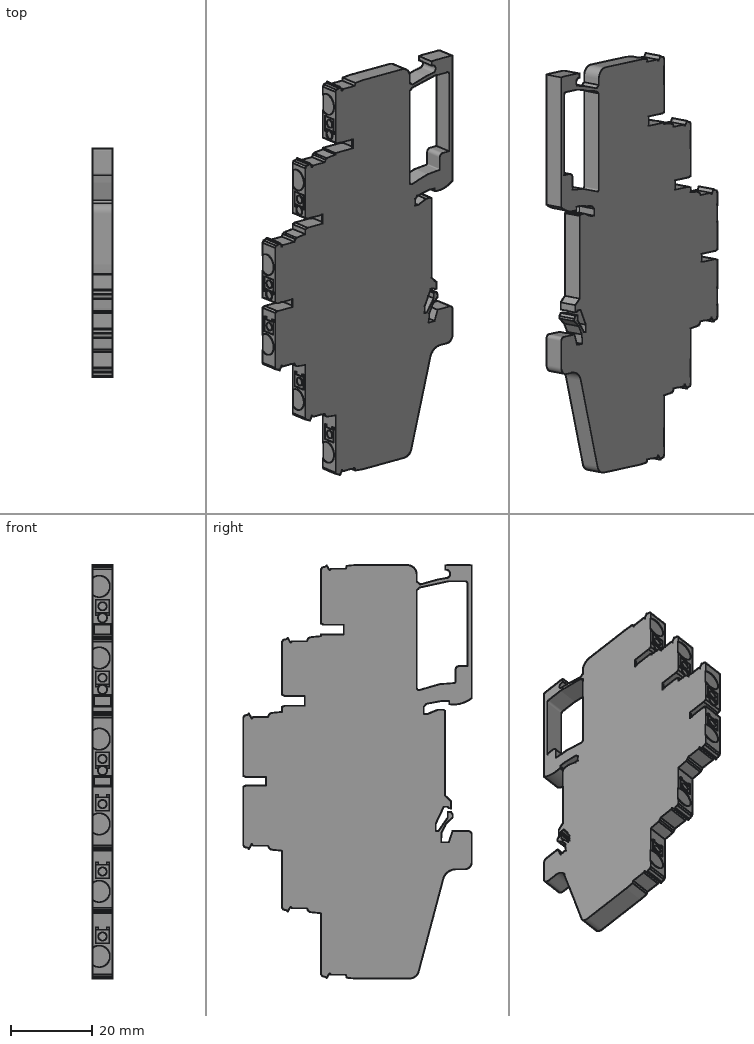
import cadquery as cq

THICKNESS = 5.0
DEPTH = 56.4
HEIGHT = 102.0

TIER_STEP = 9.6
FRONT_Y = 0.0
MIDDLE_Y = FRONT_Y + TIER_STEP
BACK_Y = MIDDLE_Y + TIER_STEP

FRONT_SEATS = (32.7, 64.6)
MIDDLE_SEATS = (17.3, 83.2)
BACK_SEATS = (0.9, 101.1)

LIP = ((0.0, -0.2), (0.3, 0.3), (1.1, 0.5), (1.4, 0.8), (2.1, -0.4), (2.4, 0.0), (6.1, 0.0))
SHOULDER = ((6.4, 0.6), (6.8, 0.9), (7.4, 1.0), (TIER_STEP, 1.2))
END_SHOULDER = ((6.2, 0.2), (6.3, 0.7), (7.3, 0.8), (8.6, 0.9))

SLOT_DEPTH = 5.6
LEAD_LENGTH = 0.7
LEAD_HEIGHT = 0.3
FRONT_SLOT = (47.6, 49.7)
MIDDLE_SLOT = (67.3, 69.7)
BACK_SLOT = (84.9, 87.2)
SLOT_POCKET_WIDTH = 4.0
SLOT_POCKET_DEPTH = 0.5

BODY_REAR_Y = 49.8
NECK_Y = 42.8
FOOT_TOP = 36.4
FOOT_BOTTOM = 26.9
LATCH_EASE_LENGTH = 0.6
LATCH_EASE_DROP = 0.1

MARK_DEPTH = 0.1
ENTRY_RADIUS = 2.7
ENTRY_X = -0.8
UPPER_ENTRIES = ((FRONT_Y, 59.1), (MIDDLE_Y, 79.0), (BACK_Y, 96.7))
LOWER_ENTRIES = ((FRONT_Y, 38.1), (MIDDLE_Y, 21.5), (BACK_Y, 5.5))
BUTTON_WIDTH = 3.4
BUTTON_NEAR = 3.3
BUTTON_FAR = 6.5
BUTTON_HOLE_OFFSET = 4.9
BUTTON_HOLE_RADIUS = 1.0
TAB_WIDTH = 0.6
TAB_LENGTH = 0.6
PROBE_OFFSET = 7.8
PROBE_RADIUS = 1.1


def tier_edge(front_y, seat_z, outward, steps):
    """Points along a tier edge from front to back; outward is +1 for top edges, -1 for bottom ones."""
    return [(front_y + back, seat_z + outward * rise) for back, rise in steps]


def slot_points(front_y, slot, lead_below=True):
    """Points round a slot, from its lower lip to its upper lip; the lower lead-in is optional."""
    bottom, top = slot
    floor_y = front_y + SLOT_DEPTH
    lower_lip = [(front_y, bottom - LEAD_HEIGHT), (front_y + LEAD_LENGTH, bottom)]
    upper_lip = [(front_y + LEAD_LENGTH, top), (front_y, top + LEAD_HEIGHT)]
    if not lead_below:
        lower_lip = [(front_y, bottom)]
    return lower_lip + [(floor_y, bottom), (floor_y, top)] + upper_lip


def front_outline():
    """Stepped front, from the bottom edge up to the top edge."""
    tier = LIP + SHOULDER
    points = tier_edge(BACK_Y, BACK_SEATS[0], -1, LIP + END_SHOULDER)[::-1]
    points += tier_edge(MIDDLE_Y, MIDDLE_SEATS[0], -1, tier)[::-1]
    points += tier_edge(FRONT_Y, FRONT_SEATS[0], -1, tier)[::-1]
    points += slot_points(FRONT_Y, FRONT_SLOT)
    points += tier_edge(FRONT_Y, FRONT_SEATS[1], 1, tier)
    points += slot_points(MIDDLE_Y, MIDDLE_SLOT)
    points += tier_edge(MIDDLE_Y, MIDDLE_SEATS[1], 1, tier)
    points += slot_points(BACK_Y, BACK_SLOT, lead_below=False)
    points += tier_edge(BACK_Y, BACK_SEATS[1], 1, LIP + END_SHOULDER)
    return points


def body():
    """Extruded outline of the whole block, without the latch window."""
    latch_top = [
        (NECK_Y, HEIGHT),
        (NECK_Y, 97.9),
        (43.7, 97.2),
        (48.0, 98.4),
        (50.4, 98.8),
    ]
    latch_head = [
        (BODY_REAR_Y, 100.8),
        (BODY_REAR_Y, HEIGHT - LATCH_EASE_DROP),
        (BODY_REAR_Y + LATCH_EASE_LENGTH, HEIGHT),
        (DEPTH - LATCH_EASE_LENGTH, HEIGHT),
        (DEPTH, HEIGHT - LATCH_EASE_DROP),
        (DEPTH, 69.2),
    ]
    rail_groove = [
        (50.8, 68.4),
        (49.1, 68.4),
        (45.2, 67.7),
        (44.6, 67.0),
        (44.6, 65.3),
        (45.5, 65.3),
        (47.9, 66.3),
        (49.5, 66.3),
        (BODY_REAR_Y, 66.0),
    ]
    rail_nose = [
        (BODY_REAR_Y, 45.2),
        (51.3, 43.8),
        (51.3, 41.9),
        (50.7, 42.0),
        (50.4, 42.3),
        (49.5, 42.3),
    ]
    spring_finger = [
        (47.5, 38.2),
        (47.5, FOOT_TOP),
        (48.1, FOOT_TOP),
        (50.4, 39.7),
        (50.4, 41.1),
        (51.3, 41.1),
        (51.7, 40.4),
        (51.7, 39.8),
        (50.1, 38.2),
        (49.0, 36.0),
        (48.9, 33.7),
        (50.7, 33.7),
    ]
    foot = [(51.6, FOOT_TOP), (DEPTH, FOOT_TOP), (DEPTH, FOOT_BOTTOM), (50.0, FOOT_BOTTOM), (NECK_Y, 0)]
    front = front_outline()
    outline = (
        cq.Workplane("YZ")
        .moveTo(*front[0])
        .polyline(front[1:] + latch_top, includeCurrent=True)
        .threePointArc((51.0, 99.8), latch_head[0])
        .polyline(latch_head[1:], includeCurrent=True)
        .threePointArc((54.2, 67.9), (50.8, 67.6))
        .polyline(rail_groove + rail_nose + spring_finger + foot, includeCurrent=True)
        .close()
    )
    return outline.extrude(THICKNESS / 2, both=True)


def latch_window():
    """Opening between the latch arm and the body."""
    points = [
        (55.3, 97.9),
        (50.6, 97.9),
        (43.6, 96.4),
        (NECK_Y, 95.8),
        (NECK_Y, 71.0),
        (48.5, 72.6),
        (52.3, 72.9),
        (52.3, 77.1),
        (55.3, 77.1),
    ]
    return cq.Workplane("YZ").polyline(points).close().extrude(THICKNESS / 2, both=True)


def round_edge(part, y, z, radius):
    """Fillet the edge along X that passes through (y, z)."""
    return part.edges("|X").edges(cq.NearestToPointSelector((0, y, z))).fillet(radius)


def front_box(width, x, y, bottom, top, depth):
    """Box cut of the given depth behind a front face at y."""
    return cq.Workplane("XY").box(width, depth, top - bottom).translate((x, y + depth / 2, (bottom + top) / 2))


def front_disc(radius, x, y, z, depth):
    """Round cut of the given depth behind a front face at y."""
    return cq.Workplane("XZ", origin=(x, y, z)).circle(radius).extrude(-depth)


def entry_marks(y, entry_z, toward_button):
    """Marks of one terminal; toward_button is -1 when the button is below the entry, +1 when above."""
    near = entry_z + toward_button * BUTTON_NEAR
    far = entry_z + toward_button * BUTTON_FAR
    tab_end = far + toward_button * TAB_LENGTH
    hole_z = entry_z + toward_button * BUTTON_HOLE_OFFSET
    marks = front_disc(ENTRY_RADIUS, ENTRY_X, y, entry_z, MARK_DEPTH)
    marks = marks.union(front_box(BUTTON_WIDTH, 0, y, min(near, far), max(near, far), MARK_DEPTH))
    for side in (-1, 1):
        tab_x = side * (BUTTON_WIDTH - TAB_WIDTH) / 2
        marks = marks.union(front_box(TAB_WIDTH, tab_x, y, min(far, tab_end), max(far, tab_end), 2 * MARK_DEPTH))
    return marks.union(front_disc(BUTTON_HOLE_RADIUS, 0, y, hole_z, 2 * MARK_DEPTH))


result = body().cut(latch_window())

for corner_y, corner_z, corner_radius in (
    (NECK_Y, HEIGHT, 2.4),
    (NECK_Y, 0, 2.4),
    (50.0, FOOT_BOTTOM, 3.2),
    (DEPTH, FOOT_BOTTOM, 1.8),
    (DEPTH, FOOT_TOP, 0.9),
    (55.3, 97.9, 0.5),
    (52.3, 77.1, 1.0),
    (52.3, 72.9, 0.3),
    (NECK_Y, 71.0, 0.5),
):
    result = round_edge(result, corner_y, corner_z, corner_radius)

for slot_front, slot in ((FRONT_Y, FRONT_SLOT), (MIDDLE_Y, MIDDLE_SLOT), (BACK_Y, BACK_SLOT)):
    pocket_y = slot_front + SLOT_DEPTH
    result = result.cut(front_box(SLOT_POCKET_WIDTH, 0, pocket_y, *slot, SLOT_POCKET_DEPTH))

for entry_y, entry_z in UPPER_ENTRIES:
    result = result.cut(entry_marks(entry_y, entry_z, -1))
    result = result.cut(front_disc(PROBE_RADIUS, 0, entry_y, entry_z - PROBE_OFFSET, 2 * MARK_DEPTH))
for entry_y, entry_z in LOWER_ENTRIES:
    result = result.cut(entry_marks(entry_y, entry_z, 1))